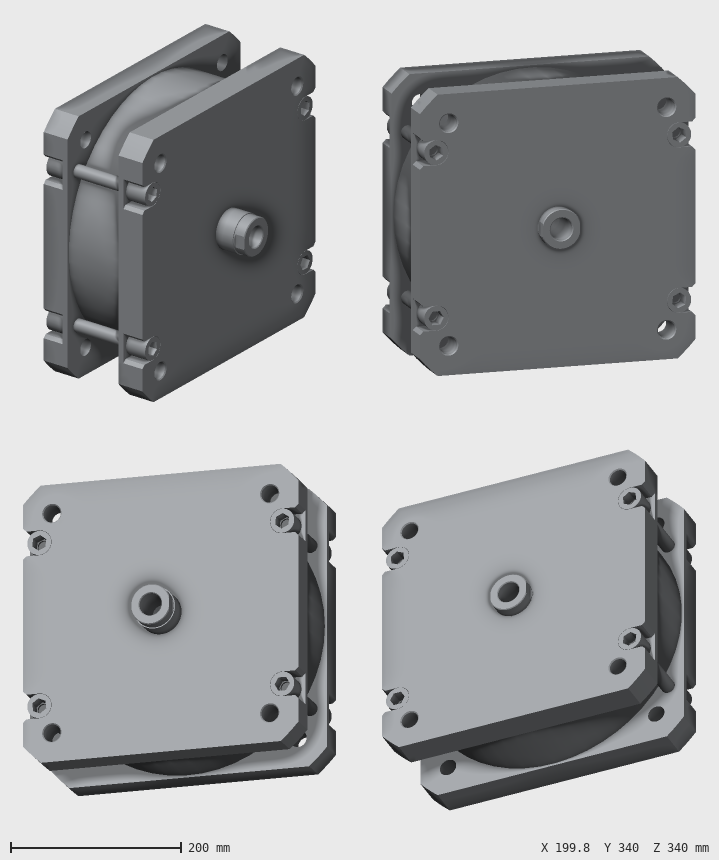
import cadquery as cq
import math


plate_side = 340.0
plate_corner_radius = 225.5
plate_thickness = 35.0
plate_gap = 74.8
mount_hole_diameter = 21.0
mount_hole_chamfer = 1.5
mount_hole_spacing = 269.0

drum_diameter = 335.0

shaft_diameter = 51.5
journal_diameter = 49.0
journal_length = 15.0
shaft_extension = 25.0
shaft_end_chamfer = 1.0
flat_width = 46.0
flat_length = 13.0
bore_diameter = 27.2
bore_chamfer = 1.0
bore_depth = 51.0
bore_tip_angle = 118.0

rod_diameter = 17.0
rod_spacing_y = 300.0
rod_spacing_z = 200.0
head_diameter = 29.5
head_length = 28.0
socket_across_flats = 16.3
socket_depth = 17.0
socket_pilot_diameter = 14.5
socket_pilot_depth = 20.5
slot_width = 30.3
slot_mouth_chamfer = 4.0

socket_turns = [7.0, -7.0, 29.0, -4.5]

plate_inner_x = plate_gap / 2
plate_outer_x = plate_inner_x + plate_thickness
head_seat_x = plate_outer_x - head_length
shoulder_left_x = -plate_outer_x
shoulder_right_x = plate_outer_x + shaft_extension
shaft_left_x = shoulder_left_x - journal_length
shaft_right_x = shoulder_right_x + journal_length
rod_y = rod_spacing_y / 2
rod_z = rod_spacing_z / 2
mount_hole_offset = mount_hole_spacing / 2
mount_hole_places = [
    (y, z)
    for y in (-mount_hole_offset, mount_hole_offset)
    for z in (-mount_hole_offset, mount_hole_offset)
]
rod_places = [(-rod_y, -rod_z), (-rod_y, rod_z), (rod_y, -rod_z), (rod_y, rod_z)]


def yz_plane(x):
    """Workplane at the given X, with local axes along Y and Z, facing +X."""
    return cq.Workplane("YZ", origin=(x, 0, 0))


def mirrored_across_x(shape, mirror_x=0.0):
    """Mirror image of the shape in the plane X = mirror_x."""
    return shape.mirror("YZ", (mirror_x, 0, 0))


def rod_head_slot(y, z):
    """Round-ended slot for a rod head, open to the nearest Y side of the plate."""
    side = math.copysign(1, y)
    edge_y = side * plate_side / 2
    half_width = slot_width / 2
    mouth_half_width = half_width + slot_mouth_chamfer
    throat_y = edge_y - side * slot_mouth_chamfer
    return (
        yz_plane(head_seat_x)
        .moveTo(y, z + half_width)
        .lineTo(throat_y, z + half_width)
        .lineTo(edge_y, z + mouth_half_width)
        .lineTo(edge_y, z - mouth_half_width)
        .lineTo(throat_y, z - half_width)
        .lineTo(y, z - half_width)
        .threePointArc((y - side * half_width, z), (y, z + half_width))
        .close()
        .extrude(head_length)
    )


def mount_hole(y, z):
    """Through hole, chamfered at the outer face of the plate."""
    radius = mount_hole_diameter / 2
    mouth_radius = radius + mount_hole_chamfer
    return (
        cq.Workplane("XY", origin=(0, y, z))
        .moveTo(plate_inner_x, 0)
        .lineTo(plate_inner_x, radius)
        .lineTo(plate_outer_x - mount_hole_chamfer, radius)
        .lineTo(plate_outer_x, mouth_radius)
        .lineTo(plate_outer_x, 0)
        .close()
        .revolve(360, (0, 0, 0), (1, 0, 0))
    )


def make_end_plate():
    """The +X end plate."""
    corner_trim = yz_plane(plate_inner_x).circle(plate_corner_radius).extrude(plate_thickness)
    shaft_hole = yz_plane(plate_inner_x).circle(shaft_diameter / 2).extrude(plate_thickness)
    rod_holes = (
        yz_plane(plate_inner_x)
        .pushPoints(rod_places)
        .circle(rod_diameter / 2)
        .extrude(plate_thickness)
    )
    plate = (
        yz_plane(plate_inner_x)
        .rect(plate_side, plate_side)
        .extrude(plate_thickness)
        .intersect(corner_trim)
        .cut(shaft_hole)
        .cut(rod_holes)
    )
    for y, z in mount_hole_places:
        plate = plate.cut(mount_hole(y, z))
    for y, z in rod_places:
        plate = plate.cut(rod_head_slot(y, z))
    return plate


def make_drum():
    """Drum between the plates, bored for the shaft."""
    return yz_plane(-plate_inner_x).circle(drum_diameter / 2).circle(shaft_diameter / 2).extrude(plate_gap)


def wrench_flat_cutter():
    """Cutter for the -Y flat of the -X journal, with a 45 degree run-out."""
    flat_y = -flat_width / 2
    flat_end_x = shaft_left_x + flat_length
    outside_y = -shaft_diameter / 2
    run_out = flat_y - outside_y
    return (
        cq.Workplane("XY")
        .moveTo(shaft_left_x, flat_y)
        .lineTo(flat_end_x, flat_y)
        .lineTo(flat_end_x + run_out, outside_y)
        .lineTo(shaft_left_x, outside_y)
        .close()
        .extrude(shaft_diameter / 2, both=True)
    )


def shaft_bore():
    """Blind bore in the -X shaft end, with a chamfered mouth and a drill-point bottom."""
    radius = bore_diameter / 2
    tip_length = radius / math.tan(math.radians(bore_tip_angle / 2))
    bottom_x = shaft_left_x + bore_depth
    return (
        cq.Workplane("XY")
        .moveTo(shaft_left_x, 0)
        .lineTo(shaft_left_x, radius + bore_chamfer)
        .lineTo(shaft_left_x + bore_chamfer, radius)
        .lineTo(bottom_x, radius)
        .lineTo(bottom_x + tip_length, 0)
        .close()
        .revolve(360, (0, 0, 0), (1, 0, 0))
    )


def make_shaft():
    """Stepped shaft with flats and a bore at each end."""
    middle_x = (shaft_left_x + shaft_right_x) / 2
    shaft = (
        yz_plane(shaft_left_x)
        .circle(journal_diameter / 2)
        .extrude(shaft_right_x - shaft_left_x)
        .faces("<X or >X")
        .chamfer(shaft_end_chamfer)
    )
    body = yz_plane(shoulder_left_x).circle(shaft_diameter / 2).extrude(shoulder_right_x - shoulder_left_x)
    shaft = shaft.union(body)

    near_flat = wrench_flat_cutter()
    far_flat = near_flat.mirror("XZ")
    for cutter in (near_flat, far_flat, shaft_bore()):
        shaft = shaft.cut(cutter).cut(mirrored_across_x(cutter, middle_x))
    return shaft


def rod_head(y, z, socket_turn):
    """The +X head of a tie rod, with a hexagon socket over a round pilot."""
    hexagon_diameter = socket_across_flats / math.cos(math.pi / 6)
    hexagon = (
        yz_plane(plate_outer_x - socket_depth)
        .center(y, z)
        .transformed(rotate=(0, 0, 90 + socket_turn))
        .polygon(6, hexagon_diameter)
        .extrude(socket_depth)
    )
    pilot = (
        yz_plane(plate_outer_x - socket_pilot_depth)
        .center(y, z)
        .circle(socket_pilot_diameter / 2)
        .extrude(socket_pilot_depth)
    )
    head = yz_plane(head_seat_x).center(y, z).circle(head_diameter / 2).extrude(head_length)
    return head.cut(hexagon).cut(pilot)


def make_tie_rod(y, z, socket_turn):
    """Tie rod with a socket head at each end."""
    stem = yz_plane(-head_seat_x).center(y, z).circle(rod_diameter / 2).extrude(2 * head_seat_x)
    head = rod_head(y, z, socket_turn)
    return stem.union(head).union(mirrored_across_x(head))


right_plate = make_end_plate()
left_plate = mirrored_across_x(right_plate)
drum = make_drum()
shaft = make_shaft()
tie_rods = [make_tie_rod(y, z, turn) for (y, z), turn in zip(rod_places, socket_turns)]

result = cq.Compound.makeCompound(
    [left_plate.val(), right_plate.val(), drum.val(), shaft.val(), *[rod.val() for rod in tie_rods]]
)